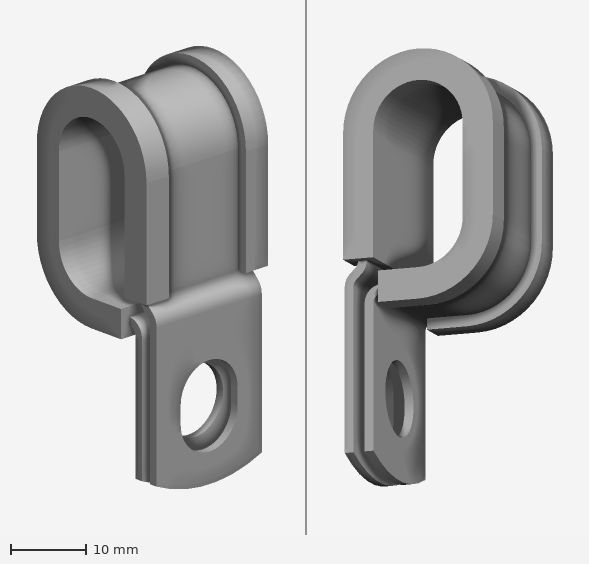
import math

import cadquery as cq


overall_length = 21.61
overall_height = 55.83

bore_radius = 6.35
strap_outer_radius = 9.1
loop_outer_radius = 10.63
straight_height = 12.7
leg_end_z = -17.2
foot_end_x = 5.7
cushion_width = 22.1
lip_width = 4.05

strap_thickness = 1.25
strap_width = 19.1
strap_inner_radius = strap_outer_radius - strap_thickness
bend_inner_radius = 1.2
bend_outer_radius = bend_inner_radius + strap_thickness
jog_angle = math.radians(45)
right_tab_outer_x = overall_length - loop_outer_radius
tab_end_z = loop_outer_radius - overall_height
tab_corner_rise = 2.1
hole_diameter = 10.35
hole_z = -34.1
slot_travel = 2.6

lower_center_z = -straight_height


def arc_point(center, radius, angle):
    """Point on a circle in the XZ plane, with the angle measured from +X."""
    return (center[0] + radius * math.cos(angle), center[1] + radius * math.sin(angle))


def loop_band(inner_radius, outer_radius, width):
    """Open loop: right leg, upper half circle, left side, lower quarter and foot."""
    lower_center = (0, lower_center_z)
    quarter_middle = math.radians(225)
    return (
        cq.Workplane("XZ")
        .moveTo(outer_radius, leg_end_z)
        .lineTo(outer_radius, 0)
        .threePointArc((0, outer_radius), (-outer_radius, 0))
        .lineTo(-outer_radius, lower_center_z)
        .threePointArc(
            arc_point(lower_center, outer_radius, quarter_middle),
            (0, lower_center_z - outer_radius),
        )
        .lineTo(foot_end_x, lower_center_z - outer_radius)
        .lineTo(foot_end_x, lower_center_z - inner_radius)
        .lineTo(0, lower_center_z - inner_radius)
        .threePointArc(
            arc_point(lower_center, inner_radius, quarter_middle),
            (-inner_radius, lower_center_z),
        )
        .lineTo(-inner_radius, 0)
        .threePointArc((0, inner_radius), (inner_radius, 0))
        .lineTo(inner_radius, leg_end_z)
        .close()
        .extrude(width / 2, both=True)
    )


def cushioned_loop():
    """Loop with the strap exposed at mid width between two raised cushion lips."""
    loop = loop_band(bore_radius, strap_outer_radius, cushion_width)
    lip = loop_band(bore_radius, loop_outer_radius, lip_width)
    lip_offset = (cushion_width - lip_width) / 2
    for side in (-1, 1):
        loop = loop.union(lip.translate((0, side * lip_offset, 0)))
    return loop


def left_tab():
    """Strap leaving the foot and bending a quarter turn down."""
    bend_center = (foot_end_x, lower_center_z - strap_inner_radius - bend_outer_radius)
    bend_middle = math.radians(45)
    top = math.radians(90)
    return (
        cq.Workplane("XZ")
        .moveTo(*arc_point(bend_center, bend_outer_radius, top))
        .threePointArc(
            arc_point(bend_center, bend_outer_radius, bend_middle),
            arc_point(bend_center, bend_outer_radius, 0),
        )
        .lineTo(foot_end_x + bend_outer_radius, tab_end_z)
        .lineTo(foot_end_x + bend_inner_radius, tab_end_z)
        .lineTo(*arc_point(bend_center, bend_inner_radius, 0))
        .threePointArc(
            arc_point(bend_center, bend_inner_radius, bend_middle),
            arc_point(bend_center, bend_inner_radius, top),
        )
        .close()
        .extrude(strap_width / 2, both=True)
    )


def right_tab():
    """Strap leaving the right leg and jogging outward before running down."""
    upper_center = (strap_outer_radius + bend_inner_radius, leg_end_z)
    jog_offset = right_tab_outer_x - strap_outer_radius
    bends_radius = bend_inner_radius + bend_outer_radius
    slant_run = jog_offset - bends_radius * (1 - math.cos(jog_angle))
    slant_drop = slant_run / math.tan(jog_angle)
    jog_drop = bends_radius * math.sin(jog_angle) + slant_drop
    lower_center = (right_tab_outer_x - bend_outer_radius, leg_end_z - jog_drop)

    def upper_point(radius, turn):
        return arc_point(upper_center, radius, math.pi + turn)

    def lower_point(radius, turn):
        return arc_point(lower_center, radius, turn)

    half_turn = jog_angle / 2
    return (
        cq.Workplane("XZ")
        .moveTo(*upper_point(bend_inner_radius, 0))
        .threePointArc(
            upper_point(bend_inner_radius, half_turn),
            upper_point(bend_inner_radius, jog_angle),
        )
        .lineTo(*lower_point(bend_outer_radius, jog_angle))
        .threePointArc(
            lower_point(bend_outer_radius, half_turn),
            lower_point(bend_outer_radius, 0),
        )
        .lineTo(right_tab_outer_x, tab_end_z)
        .lineTo(right_tab_outer_x - strap_thickness, tab_end_z)
        .lineTo(*lower_point(bend_inner_radius, 0))
        .threePointArc(
            lower_point(bend_inner_radius, half_turn),
            lower_point(bend_inner_radius, jog_angle),
        )
        .lineTo(*upper_point(bend_outer_radius, jog_angle))
        .threePointArc(
            upper_point(bend_outer_radius, half_turn),
            upper_point(bend_outer_radius, 0),
        )
        .close()
        .extrude(strap_width / 2, both=True)
    )


def tab_outline():
    """Block along X with the tabs' side outline: straight sides and a rounded tip."""
    half_width = strap_width / 2
    corner_z = tab_end_z + tab_corner_rise
    return (
        cq.Workplane("YZ")
        .moveTo(-half_width, leg_end_z)
        .lineTo(-half_width, corner_z)
        .threePointArc((0, tab_end_z), (half_width, corner_z))
        .lineTo(half_width, leg_end_z)
        .close()
        .extrude(right_tab_outer_x)
    )


def bolt_hole():
    """Cylinder along X for the left tab."""
    return (
        cq.Workplane("YZ")
        .center(0, hole_z)
        .circle(hole_diameter / 2)
        .extrude(right_tab_outer_x)
    )


def bolt_slot():
    """Vertical slot along X for the right tab, as wide as the bolt hole."""
    return (
        cq.Workplane("YZ")
        .center(0, hole_z)
        .slot2D(hole_diameter + slot_travel, hole_diameter, 90)
        .extrude(right_tab_outer_x)
    )


drilled_left_tab = left_tab().intersect(tab_outline()).cut(bolt_hole())
slotted_right_tab = right_tab().intersect(tab_outline()).cut(bolt_slot())
result = cushioned_loop().union(drilled_left_tab).union(slotted_right_tab)